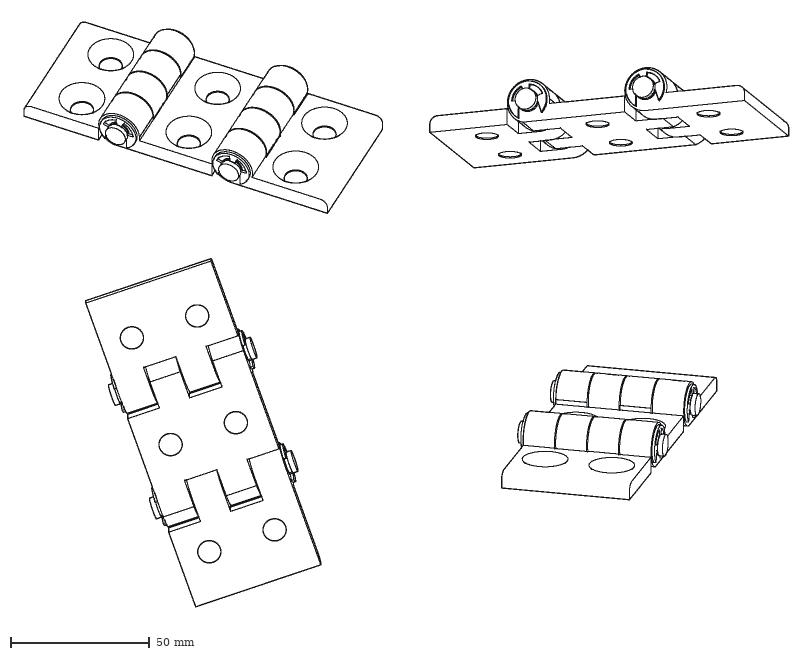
import cadquery as cq
import math

total_length = 120.7
leaf_width = 47.9
pin_length = 54.2
pin_x = 22.52
barrel_radius = 8.1
axis_z = barrel_radius
pin_radius = 4.0

plate_thickness = 6.0
centre_lift = 0.3
edge_radius = 3.0
side_clearance = 0.06

bay_count = 4
bay_width = leaf_width / bay_count
knuckle_gap = 0.42

hole_x = 42.5
hole_spacing = 25.0
hole_diameter = 8.3
sink_diameter = 16.5
sink_depth = 5.5

groove_radius = 3.5
clip_thickness = 1.0
clip_clearance = 0.1
clip_radius = 7.2
groove_width = clip_thickness + 2 * clip_clearance
clip_slot_radius = 6.0
clip_slot_start = 11.0
clip_slot_end = 75.0
clip_tilt = 8.5
mouth_inner = (3.7, -1.5)
mouth_outer = (4.7, -clip_radius)

plate_edge_x = pin_x + barrel_radius + side_clearance


def y_cylinder(radius, x, y_start, length):
    """Cylinder along Y on a hinge axis."""
    disc = cq.Workplane("XZ", origin=(x, y_start, axis_z)).circle(radius)
    return disc.extrude(-length)


def block(x_start, x_end, y_start, length, z_start, z_end):
    """Box given by its limits."""
    size = (x_end - x_start, length, z_end - z_start)
    return cq.Workplane("XY").box(*size, centered=False).translate((x_start, y_start, z_start))


def knuckle_start(bay):
    """Lowest Y of the knuckle in a bay; the end bays finish flush with the leaf."""
    start = -leaf_width / 2 + bay * bay_width
    return start if bay == 0 else start + knuckle_gap / 2


def knuckle_length(bay):
    """Length of the knuckle in a bay, with half a gap on every inner end."""
    inner_ends = 1 if bay in (0, bay_count - 1) else 2
    return bay_width - inner_ends * knuckle_gap / 2


def drill_screw_holes(leaf, x, top_z):
    """Cut the pair of countersunk screw holes."""
    for y in (-hole_spacing / 2, hole_spacing / 2):
        bore = cq.Workplane("XY", origin=(x, y, 0)).circle(hole_diameter / 2).extrude(top_z)
        sink = cq.Solid.makeCone(
            sink_diameter / 2, hole_diameter / 2, sink_depth,
            pnt=cq.Vector(x, y, top_z), dir=cq.Vector(0, 0, -1),
        )
        leaf = leaf.cut(bore).cut(sink)
    return leaf


def make_outer_leaf():
    """Left leaf, with knuckles in the second and fourth bays."""
    leaf = block(-total_length / 2, -plate_edge_x, -leaf_width / 2, leaf_width, 0, plate_thickness)
    leaf = leaf.edges("<X and >Z").fillet(edge_radius)
    for bay in (1, 3):
        start = knuckle_start(bay)
        length = knuckle_length(bay)
        leaf = leaf.union(y_cylinder(barrel_radius, -pin_x, start, length))
        leaf = leaf.union(block(-plate_edge_x, -pin_x, start, length, 0, plate_thickness))
    leaf = leaf.cut(y_cylinder(pin_radius, -pin_x, -leaf_width / 2, leaf_width))
    return drill_screw_holes(leaf, -hole_x, plate_thickness)


def make_centre_leaf():
    """Leaf between the two hinge axes, with two flat-bottomed knuckles on each side."""
    inner_edge = pin_x - barrel_radius - side_clearance
    top_z = centre_lift + plate_thickness
    leaf = block(-inner_edge, inner_edge, -leaf_width / 2, leaf_width, centre_lift, top_z)
    for side, bays in ((-1, (0, 2)), (1, (1, 3))):
        axis_x = side * pin_x
        for bay in bays:
            start = knuckle_start(bay)
            length = knuckle_length(bay)
            near, far = sorted((side * inner_edge, axis_x))
            below = block(axis_x - barrel_radius, axis_x + barrel_radius, start, length, 0, centre_lift)
            barrel = y_cylinder(barrel_radius, axis_x, start, length)
            leaf = leaf.union(barrel.cut(below))
            leaf = leaf.union(block(near, far, start, length, centre_lift, axis_z))
        leaf = leaf.cut(y_cylinder(pin_radius, axis_x, -leaf_width / 2, leaf_width))
    return drill_screw_holes(leaf, 0, top_z)


def make_pin(x):
    """Pin with a clip groove just outside each end of the barrel."""
    pin = y_cylinder(pin_radius, x, -pin_length / 2, pin_length)
    for y in (-leaf_width / 2 - groove_width, leaf_width / 2):
        groove = y_cylinder(pin_radius, x, y, groove_width)
        pin = pin.cut(groove.cut(y_cylinder(groove_radius, x, y, groove_width)))
    return pin


def polar(radius, degrees):
    """Point at a radius and angle from the clip centre."""
    angle = math.radians(degrees)
    return (radius * math.cos(angle), radius * math.sin(angle))


def make_clip(x, y_start):
    """E-shaped clip seated in a pin groove, just clear of the barrel end."""
    plane = cq.Workplane("XZ")
    clip = plane.circle(clip_radius).circle(groove_radius).extrude(-clip_thickness)
    middle = (clip_slot_start + clip_slot_end) / 2
    slot = (
        plane.moveTo(*polar(groove_radius, clip_slot_start))
        .lineTo(*polar(clip_slot_radius, clip_slot_start))
        .threePointArc(polar(clip_slot_radius, middle), polar(clip_slot_radius, clip_slot_end))
        .lineTo(*polar(groove_radius, clip_slot_end))
        .threePointArc(polar(groove_radius, middle), polar(groove_radius, clip_slot_start))
        .close()
        .extrude(-clip_thickness)
    )
    mouth_corners = [
        mouth_inner,
        mouth_outer,
        (-mouth_outer[0], mouth_outer[1]),
        (-mouth_inner[0], mouth_inner[1]),
    ]
    mouth = plane.polyline(mouth_corners).close().extrude(-clip_thickness)
    clip = clip.cut(slot).cut(slot.mirror("YZ")).cut(mouth)
    clip = clip.rotate((0, 0, 0), (0, 1, 0), clip_tilt)
    return clip.translate((x, y_start, axis_z))


left_leaf = make_outer_leaf()
right_leaf = left_leaf.rotate((0, 0, 0), (0, 0, 1), 180)
centre_leaf = make_centre_leaf()
pins = [make_pin(x) for x in (-pin_x, pin_x)]
clip_offset = leaf_width / 2 + clip_clearance
clip_starts = (-clip_offset - clip_thickness, clip_offset)
clips = [make_clip(x, y) for x in (-pin_x, pin_x) for y in clip_starts]

bodies = [left_leaf, right_leaf, centre_leaf, *pins, *clips]
result = cq.Compound.makeCompound([body.val() for body in bodies])